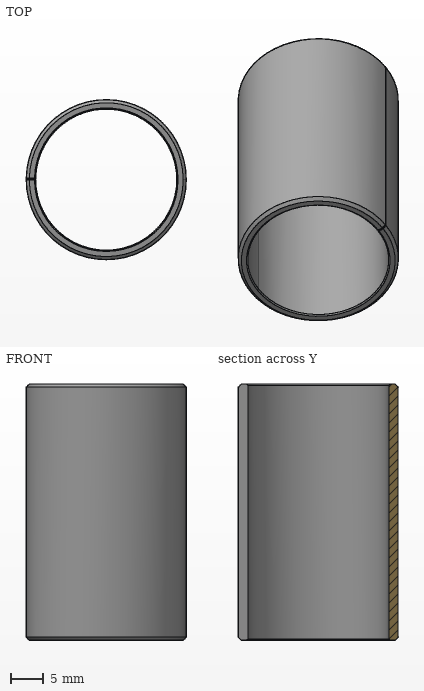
import cadquery as cq

outer_diameter = 25.0
wall_thickness = 1.5
length = 40.0
outer_chamfer = 0.5
inner_chamfer = 0.2
slit_width = 0.2

outer_radius = outer_diameter / 2
inner_radius = outer_radius - wall_thickness
half_length = length / 2


def make_sleeve():
    """Revolve the chamfered wall section around Z, centred on the origin."""
    wall_section = [
        (inner_radius, -half_length + inner_chamfer),
        (inner_radius + inner_chamfer, -half_length),
        (outer_radius - outer_chamfer, -half_length),
        (outer_radius, -half_length + outer_chamfer),
        (outer_radius, half_length - outer_chamfer),
        (outer_radius - outer_chamfer, half_length),
        (inner_radius + inner_chamfer, half_length),
        (inner_radius, half_length - inner_chamfer),
    ]
    return cq.Workplane("XZ").polyline(wall_section).close().revolve(360, (0, 0), (0, 1))


def make_slit():
    """Cutter for the full-length slit on the -X side; one slit face lies on the plane Y = 0."""
    slit = cq.Workplane("XY").box(outer_radius, slit_width, length, centered=(True, False, True))
    return slit.translate((-outer_radius, 0, 0))


result = make_sleeve().cut(make_slit())